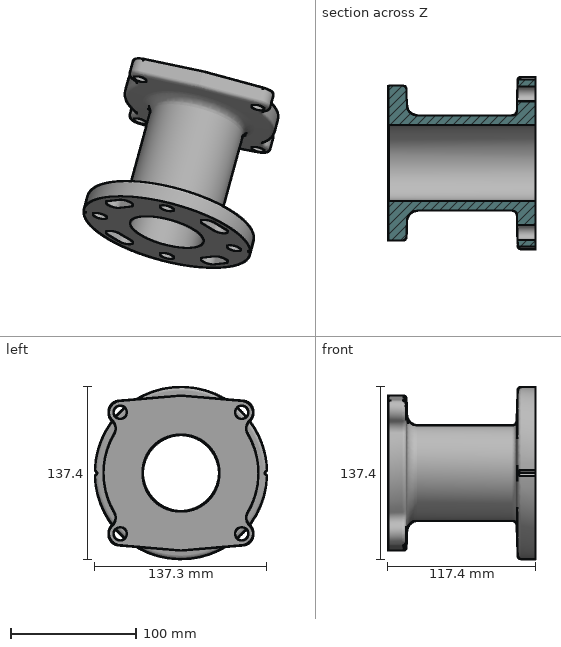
import cadquery as cq
import math

LENGTH = 117.4
TUBE_RADIUS = 38.2
BORE_RADIUS = 30.2
BORE_CHAMFER = 0.5

FACE_DRAFT = 2.0
RIM_ROUND = 3.0
FACE_EXTENT = 89.3

SQUARE_THICKNESS = 15.4
SQUARE_ALLOWANCE = 2.6
SQUARE_FILLET = 8.0
SIDE_RADIUS = 61.8
PEAK_HEIGHT = 61.8
LUG_OFFSET = 48.3
LUG_RADIUS = 9.5
LUG_BLEND = 8.0
LUG_HOLE_DIAMETER = 10.5

ROUND_RADIUS = 68.7
ROUND_THICKNESS = 15.4
ROUND_ALLOWANCE = 3.5
ROUND_FILLET = 3.0
BOLT_CIRCLE_RADIUS = 55.0
BOLT_HOLE_DIAMETER = 11.5
OPENING_COUNT = 4
SLOT_WIDTH = 13.2
SLOT_LENGTH = 26.0
NOTCH_HALF_WIDTH = 2.5
NOTCH_DEPTH = 2.0


def yz_plane(x):
    """Plane facing +X: local x is the part's Y, local y is the part's Z."""
    return cq.Workplane("YZ", origin=(x, 0, 0))


def polar(radius, angle):
    return radius * math.cos(angle), radius * math.sin(angle)


def conical_disc(x_start, x_end, radius):
    """Disc that is flat within the tube radius and thins towards its rim on both sides."""
    drop = (radius - TUBE_RADIUS) * math.tan(math.radians(FACE_DRAFT))
    half_section = [
        (x_start, 0),
        (x_start, TUBE_RADIUS),
        (x_start + drop, radius),
        (x_end - drop, radius),
        (x_end, TUBE_RADIUS),
        (x_end, 0),
    ]
    return cq.Workplane("XY").polyline(half_section).close().revolve(360, (0, 0, 0), (1, 0, 0))


def is_tube_circle(edge):
    return edge.geomType() == "CIRCLE" and math.isclose(edge.radius(), TUBE_RADIUS)


def round_rim(flange):
    """Round the outer edges of both conical faces, leaving the circles at the tube."""
    rim_edges = flange.faces("%CONE").edges().filter(lambda edge: not is_tube_circle(edge))
    return flange.newObject(rim_edges.vals()).fillet(RIM_ROUND)


def outline_quarter():
    """Quarter of the outline: half a shallow peak, a round lug and half an arched side."""
    lug_to_peak = math.hypot(LUG_OFFSET, PEAK_HEIGHT - LUG_OFFSET)
    peak_angle = math.atan2(PEAK_HEIGHT - LUG_OFFSET, -LUG_OFFSET)
    top_angle = peak_angle - math.acos(LUG_RADIUS / lug_to_peak)

    lug_distance = LUG_OFFSET * math.sqrt(2)
    blend_distance = SIDE_RADIUS + LUG_BLEND
    lug_to_blend = LUG_RADIUS + LUG_BLEND
    side_angle = math.pi / 4 - math.acos(
        (lug_distance**2 + blend_distance**2 - lug_to_blend**2) / (2 * lug_distance * blend_distance)
    )
    blend_y, blend_z = polar(blend_distance, side_angle)
    low_angle = math.atan2(blend_z - LUG_OFFSET, blend_y - LUG_OFFSET)
    middle_angle = (side_angle + low_angle) / 2 + math.pi

    def on_lug(angle):
        y, z = polar(LUG_RADIUS, angle)
        return LUG_OFFSET + y, LUG_OFFSET + z

    blend_dy, blend_dz = polar(LUG_BLEND, middle_angle)
    blend_middle = (blend_y + blend_dy, blend_z + blend_dz)

    return (
        yz_plane(0)
        .moveTo(0, 0)
        .lineTo(0, PEAK_HEIGHT)
        .lineTo(*on_lug(top_angle))
        .threePointArc(on_lug((top_angle + low_angle) / 2), on_lug(low_angle))
        .threePointArc(blend_middle, polar(SIDE_RADIUS, side_angle))
        .threePointArc(polar(SIDE_RADIUS, side_angle / 2), (SIDE_RADIUS, 0))
        .close()
    )


def square_flange():
    span = SQUARE_THICKNESS + SQUARE_ALLOWANCE
    quarter = outline_quarter().extrude(span).translate((-SQUARE_ALLOWANCE, 0, 0))
    half = quarter.union(quarter.mirror("XZ"))
    blank = half.union(half.mirror("XY")).clean()
    flange = blank.intersect(conical_disc(-SQUARE_ALLOWANCE, SQUARE_THICKNESS, FACE_EXTENT))
    return round_rim(flange)


def round_flange():
    return round_rim(conical_disc(LENGTH - ROUND_THICKNESS, LENGTH + ROUND_ALLOWANCE, ROUND_RADIUS))


def add_tube(flanges):
    """Join the flanges with the tube and fillet it into both of them."""
    square_back = SQUARE_THICKNESS
    round_back = LENGTH - ROUND_THICKNESS
    tube = yz_plane(square_back).circle(TUBE_RADIUS).extrude(round_back - square_back)
    body = flanges.union(tube)
    for x_back, radius in ((square_back, SQUARE_FILLET), (round_back, ROUND_FILLET)):
        joint = body.edges("%CIRCLE").filter(
            lambda edge: is_tube_circle(edge) and math.isclose(edge.Center().x, x_back)
        )
        body = body.newObject(joint.vals()).fillet(radius)
    return body


def machine_faces(body):
    """Keep the stretch between X = 0 and X = LENGTH."""
    return body.intersect(yz_plane(0).circle(FACE_EXTENT).extrude(LENGTH))


def bore():
    """Through bore with a small chamfer at its X = 0 mouth."""
    mouth_radius = BORE_RADIUS + BORE_CHAMFER
    half_section = [
        (0, 0),
        (0, mouth_radius),
        (BORE_CHAMFER, BORE_RADIUS),
        (LENGTH, BORE_RADIUS),
        (LENGTH, 0),
    ]
    return cq.Workplane("XY").polyline(half_section).close().revolve(360, (0, 0, 0), (1, 0, 0))


def lug_holes():
    lug_pitch = 2 * LUG_OFFSET
    return (
        yz_plane(0)
        .rect(lug_pitch, lug_pitch, forConstruction=True)
        .vertices()
        .circle(LUG_HOLE_DIAMETER / 2)
        .extrude(SQUARE_THICKNESS)
    )


def bolt_openings():
    """Round holes on the axes and tangential slots midway between them."""
    flange_start = yz_plane(LENGTH - ROUND_THICKNESS)
    holes = (
        flange_start.polarArray(BOLT_CIRCLE_RADIUS, 0, 360, OPENING_COUNT)
        .circle(BOLT_HOLE_DIAMETER / 2)
        .extrude(ROUND_THICKNESS)
    )
    slots = (
        flange_start.polarArray(BOLT_CIRCLE_RADIUS, 180 / OPENING_COUNT, 360, OPENING_COUNT)
        .slot2D(SLOT_LENGTH, SLOT_WIDTH, 90)
        .extrude(ROUND_THICKNESS)
    )
    return holes.union(slots)


def rim_notches():
    """V-shaped notches across the round flange's rim at +Y and -Y."""
    apex = ROUND_RADIUS - NOTCH_DEPTH
    outer = ROUND_RADIUS + NOTCH_DEPTH
    outer_half_width = 2 * NOTCH_HALF_WIDTH
    notch = (
        yz_plane(LENGTH - ROUND_THICKNESS)
        .polyline([(apex, 0), (outer, outer_half_width), (outer, -outer_half_width)])
        .close()
        .extrude(ROUND_THICKNESS)
    )
    return notch.union(notch.mirror("XZ"))


result = machine_faces(add_tube(square_flange().union(round_flange())))
for opening in (bore(), lug_holes(), bolt_openings(), rim_notches()):
    result = result.cut(opening)